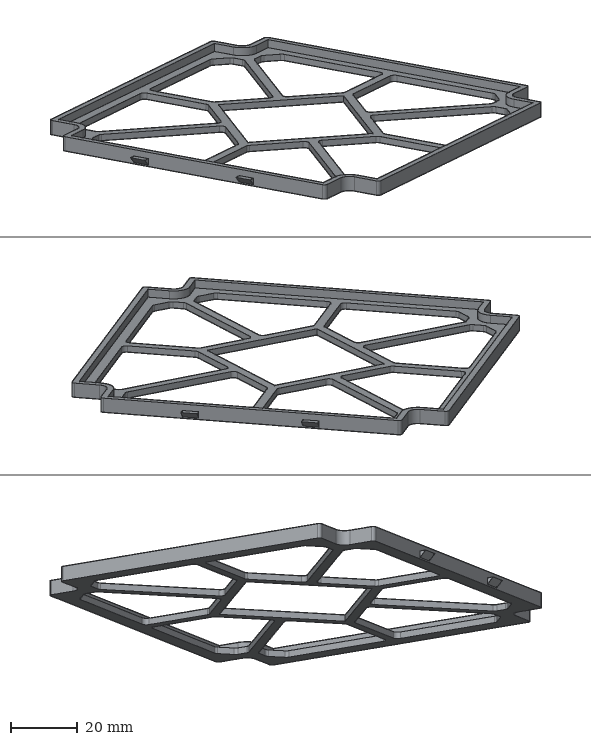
import cadquery as cq
import math

frame_size = 115.8
frame_height = 4.5
notch_size = 11.65
notch_fillet = 3.0
corner_fillet = 1.0

wall_thickness = 2.0
floor_thickness = 2.0

ledge_width = 3.15
notch_ledge_width = 2.5
bar_width = 3.0
window_chamfer = 4.5
window_fillet = 1.5
center_square_side = 38.4

tab_width = 5.0
tab_reach = 2.0
tab_top = 2.5
tab_offset = 18.5

half_frame = frame_size / 2
half_notch = half_frame - notch_size


def cross_outline(half_long, half_short):
    """Square of half size half_long whose corners are notched back to half_short."""
    long_side = 2 * half_long
    short_side = 2 * half_short
    wide = cq.Workplane("XY").rect(long_side, short_side).extrude(frame_height)
    tall = cq.Workplane("XY").rect(short_side, long_side).extrude(frame_height)
    return wide.union(tall)


def notch_corners(half_short):
    """Selector for the four inward vertical edges at the notch corners."""
    reach = half_short + wall_thickness / 2
    return cq.selectors.BoxSelector(
        (-reach, -reach, -frame_height),
        (reach, reach, 2 * frame_height),
    )


def make_frame():
    """Notched plate, hollowed from above into a shallow tray."""
    body = cross_outline(half_frame, half_notch)
    body = body.edges("|Z").edges(notch_corners(half_notch)).fillet(notch_fillet)
    outward_corners = body.faces("<X or >X or <Y or >Y").edges("|Z")
    body = outward_corners.fillet(corner_fillet)

    half_pocket_short = half_notch - wall_thickness
    pocket = cross_outline(half_frame - wall_thickness, half_pocket_short)
    pocket = pocket.edges("|Z").edges(notch_corners(half_pocket_short))
    pocket = pocket.fillet(notch_fillet + wall_thickness)
    return body.cut(pocket.translate((0, 0, floor_thickness)))


def make_window():
    """Window just left of the +Y bar, between the center square and the diagonal bar."""
    top = half_frame - wall_thickness - ledge_width
    left = -(half_notch - wall_thickness - notch_ledge_width)
    right = -bar_width / 2
    diamond_reach = (center_square_side / 2 + bar_width) * math.sqrt(2)
    diagonal_shift = bar_width / math.sqrt(2)

    inner_x = -(diamond_reach - diagonal_shift) / 2
    inner_corner = (inner_x, diagonal_shift - inner_x)
    window = (
        cq.Workplane("XY")
        .moveTo(right, top)
        .lineTo(left + window_chamfer, top)
        .lineTo(left, top - window_chamfer)
        .lineTo(left, diagonal_shift - left)
        .lineTo(*inner_corner)
        .lineTo(right, diamond_reach + right)
        .close()
        .extrude(frame_height)
    )
    return window.edges("|Z").fillet(window_fillet)


def cut_windows(body):
    """Eight windows, mirrored and repeated per side, plus the rotated center square."""
    left_window = make_window()
    right_window = left_window.mirror("YZ")
    for side in range(4):
        for window in (left_window, right_window):
            body = body.cut(window.rotate((0, 0, 0), (0, 0, 1), 90 * side))
    center = cq.Workplane("XY").rect(center_square_side, center_square_side).extrude(frame_height)
    return body.cut(center.rotate((0, 0, 0), (0, 0, 1), 45))


def make_tab():
    """Wedge on the +Y side: flat on top, sloping back to the wall below."""
    root = half_frame - wall_thickness / 2
    return (
        cq.Workplane("YZ")
        .moveTo(root, tab_top)
        .lineTo(half_frame + tab_reach, tab_top)
        .lineTo(half_frame, tab_top - tab_reach)
        .lineTo(root, tab_top - tab_reach)
        .close()
        .extrude(tab_width / 2, both=True)
    )


def add_tabs(body):
    """Two tabs on each Y side."""
    tab = make_tab()
    for x in (-tab_offset, tab_offset):
        placed = tab.translate((x, 0, 0))
        body = body.union(placed).union(placed.mirror("XZ"))
    return body


result = add_tabs(cut_windows(make_frame()))